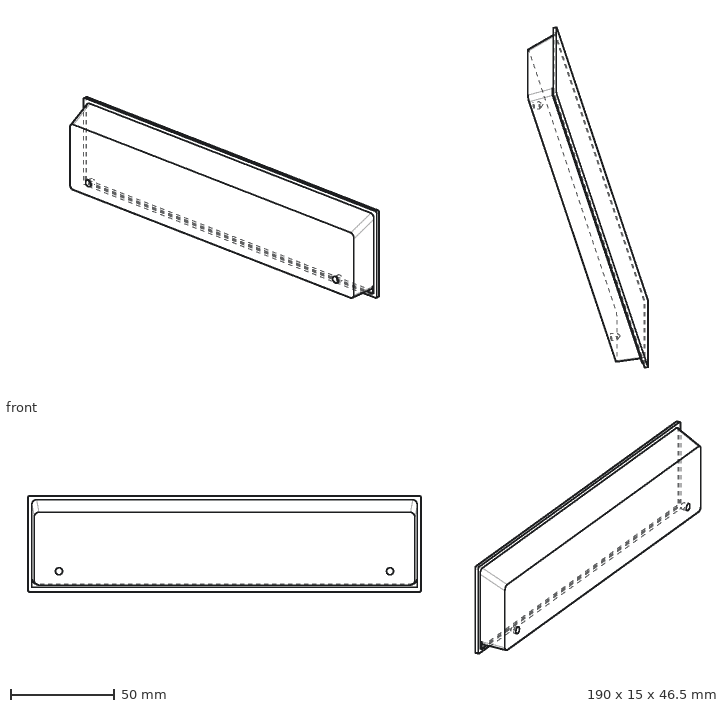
import cadquery as cq

LENGTH = 190.0
HEIGHT = 46.5
DEPTH = 15.0
FLANGE_THICKNESS = 1.7
FLANGE_CORNER_RADIUS = 1.0

ROOT_SIDE_MARGIN = 1.9
FACE_SIDE_MARGIN = 3.0
ROOT_TOP_MARGIN = 1.9
FACE_TOP_MARGIN = 8.0
ROOT_BOTTOM_MARGIN = 4.0
FACE_BOTTOM_MARGIN = 3.5
BODY_CORNER_RADIUS = 2.3

LIP_DEPTH = 1.0
LIP_HEIGHT = 3.8
LIP_BOTTOM_MARGIN = 2.3

HOLE_DIAMETER = 3.5
HOLE_DEPTH = 2.8
HOLE_TIP_DEPTH = 1.7
HOLE_SPACING = 160.0
HOLE_HEIGHT = 10.0

FLANGE_FRONT = -FLANGE_THICKNESS
FACE = -DEPTH


def make_flange():
    plate = cq.Workplane("XY").box(LENGTH, FLANGE_THICKNESS, HEIGHT, centered=(True, False, False))
    return plate.translate((0, FLANGE_FRONT, 0)).edges("|Y").fillet(FLANGE_CORNER_RADIUS)


def make_body():
    side_profile = [
        (FLANGE_FRONT, ROOT_BOTTOM_MARGIN),
        (FACE, FACE_BOTTOM_MARGIN),
        (FACE, HEIGHT - FACE_TOP_MARGIN),
        (FLANGE_FRONT, HEIGHT - ROOT_TOP_MARGIN),
    ]
    root_half = LENGTH / 2 - ROOT_SIDE_MARGIN
    face_half = LENGTH / 2 - FACE_SIDE_MARGIN
    plan_profile = [
        (-root_half, FLANGE_FRONT),
        (-face_half, FACE),
        (face_half, FACE),
        (root_half, FLANGE_FRONT),
    ]
    profile_bar = cq.Workplane("YZ").polyline(side_profile).close().extrude(LENGTH / 2, both=True)
    plan_block = cq.Workplane("XY").polyline(plan_profile).close().extrude(HEIGHT)
    body = profile_bar.intersect(plan_block)
    return body.edges("not(<Y or >Y)").fillet(BODY_CORNER_RADIUS)


def make_lip():
    width = LENGTH - 2 * ROOT_SIDE_MARGIN
    lip = cq.Workplane("XY").box(width, LIP_DEPTH, LIP_HEIGHT, centered=(True, False, False))
    return lip.translate((0, FLANGE_FRONT - LIP_DEPTH, LIP_BOTTOM_MARGIN))


def make_hole(x):
    radius = HOLE_DIAMETER / 2
    outline = [
        (0, FACE),
        (radius, FACE),
        (radius, FACE + HOLE_DEPTH),
        (0, FACE + HOLE_DEPTH + HOLE_TIP_DEPTH),
    ]
    hole = cq.Workplane("XY").polyline(outline).close().revolve(360, (0, 0, 0), (0, 1, 0))
    return hole.translate((x, 0, HOLE_HEIGHT))


result = make_flange().union(make_body()).union(make_lip())
for hole_x in (-HOLE_SPACING / 2, HOLE_SPACING / 2):
    result = result.cut(make_hole(hole_x))